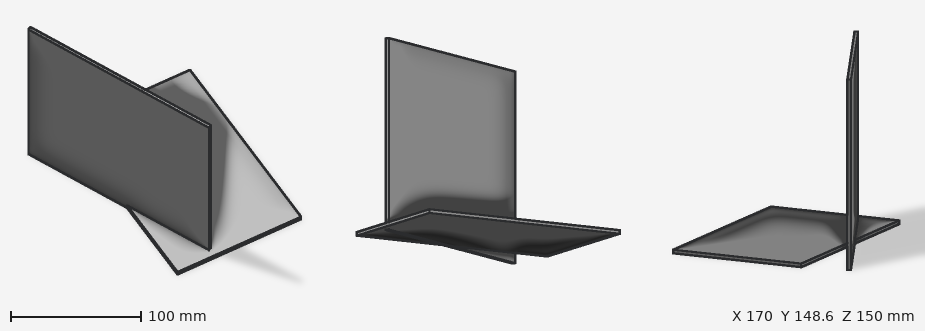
import cadquery as cq

plate_length = 170.0
base_depth = 110.0
panel_height = 150.0
thickness = 2.9
panel_angle = 24.5
panel_offset = 2.0


def make_panel():
    """Upright panel, turned about its own vertical centre line."""
    return (
        cq.Workplane("XY")
        .box(plate_length, thickness, panel_height, centered=(True, True, False))
        .rotate((0, 0, 0), (0, 0, 1), panel_angle)
        .translate((0, -panel_offset, 0))
    )


def make_base(panel):
    """Flat base, with its front edge on the X axis and a slot that fits the panel."""
    plate = cq.Workplane("XY").box(
        plate_length, base_depth, thickness, centered=(True, False, False)
    )
    return plate.cut(panel)


panel = make_panel()
base = make_base(panel)

result = cq.Compound.makeCompound([*base.solids().vals(), panel.val()])